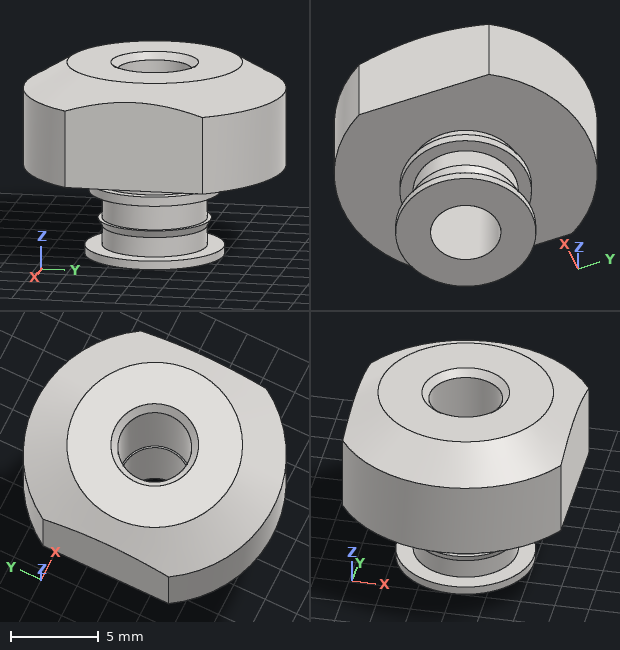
import cadquery as cq

head_diameter = 15
head_top_diameter = 10.0
flat_width = 12.7
head_cone_height = 1.5
head_side_height = 4.5

neck_diameter = 6.5
neck_height = 0.99
collar_diameter = 7.5
collar_height = 0.54
stem_diameter = 6
ridge_diameter = 6.5
ridge_height = 0.45
ridge_base_z = 1.65
foot_diameter = 8.0
foot_height = 0.51
total_height = 11.2

bore_diameter = 4.0
upper_bore_diameter = 4.2
mouth_diameter = 5.0
mouth_depth = 0.4

cone_base_z = total_height - head_cone_height
head_base_z = cone_base_z - head_side_height
collar_top_z = head_base_z - neck_height
collar_base_z = collar_top_z - collar_height
ridge_top_z = ridge_base_z + ridge_height
upper_bore_base_z = head_base_z


def disc(diameter, bottom_z, top_z):
    """Cylinder on the Z axis between two levels."""
    return cq.Workplane("XY").workplane(offset=bottom_z).circle(diameter / 2).extrude(top_z - bottom_z)


def cone(bottom_diameter, top_diameter, bottom_z, top_z):
    """Truncated cone on the Z axis between two levels."""
    return cq.Workplane("XY").add(
        cq.Solid.makeCone(bottom_diameter / 2, top_diameter / 2, top_z - bottom_z, cq.Vector(0, 0, bottom_z))
    )


def make_head():
    side = disc(head_diameter, head_base_z, cone_base_z)
    top = cone(head_diameter, head_top_diameter, cone_base_z, total_height)
    flats = cq.Workplane("XY").box(flat_width, head_diameter, total_height, centered=(True, True, False))
    return side.union(top).intersect(flats)


def make_stem():
    stem = disc(stem_diameter, 0, head_base_z)
    foot = disc(foot_diameter, 0, foot_height)
    ridge = cone(stem_diameter, ridge_diameter, ridge_base_z, ridge_top_z)
    collar = disc(collar_diameter, collar_base_z, collar_top_z)
    neck = disc(neck_diameter, collar_top_z, head_base_z)
    return stem.union(foot).union(ridge).union(collar).union(neck)


def make_bore():
    lower = disc(bore_diameter, 0, total_height)
    upper = disc(upper_bore_diameter, upper_bore_base_z, total_height)
    mouth = cone(upper_bore_diameter, mouth_diameter, total_height - mouth_depth, total_height)
    return lower.union(upper).union(mouth)


result = make_head().union(make_stem()).cut(make_bore())